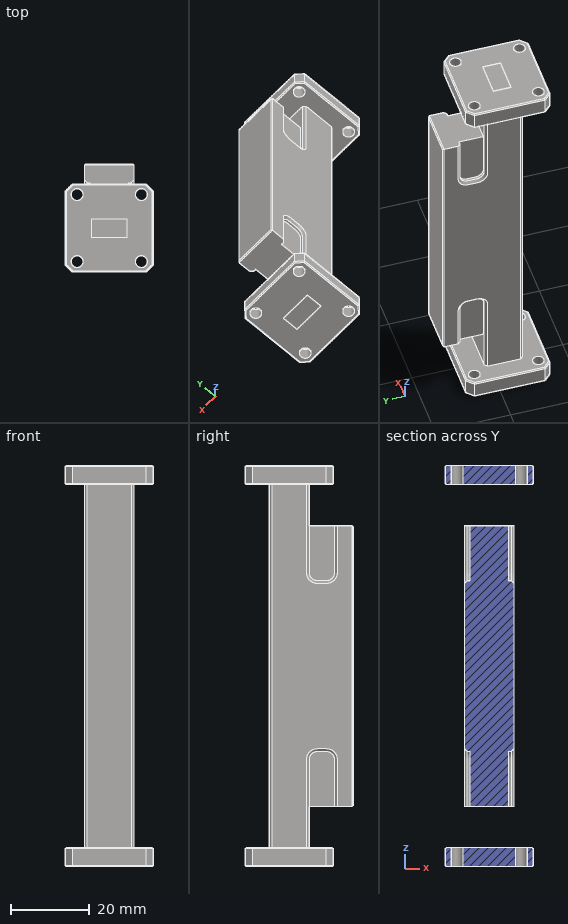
import cadquery as cq

total_length = 101.6

flange_size = 22.4
flange_thickness = 4.9
flange_corner_cut = 1.8
flange_edge_chamfer = 0.3
hole_diameter = 2.9
hole_spacing_x = 16.3
hole_spacing_y = 17.0
window_width = 9.0
window_height = 4.7
window_depth = 0.1

tube_width = 12.6
tube_depth = 10.2
tube_chamfer = 0.7

arm_length = 71.1
arm_back = 16.3
arm_chamfer = 0.3

relief_back = 11.5
relief_depth = 1.4
relief_end = 21.6
relief_corner_radius = 2.0
relief_chamfer = tube_chamfer
flare_angle = 45.0

tube_back = tube_depth / 2
tube_side = tube_width / 2


def make_flange():
    """End flange lying on Z = 0, with its shallow window in the top face."""
    flange = (
        cq.Workplane("XY")
        .rect(flange_size, flange_size)
        .extrude(flange_thickness)
        .edges("|Z")
        .chamfer(flange_corner_cut)
        .faces("<Z or >Z")
        .edges()
        .chamfer(flange_edge_chamfer)
    )
    holes = (
        cq.Workplane("XY")
        .rect(hole_spacing_x, hole_spacing_y, forConstruction=True)
        .vertices()
        .circle(hole_diameter / 2)
        .extrude(flange_thickness)
    )
    window = (
        cq.Workplane("XY")
        .workplane(offset=flange_thickness - window_depth)
        .rect(window_width, window_height)
        .extrude(window_depth)
    )
    return flange.cut(holes).cut(window)


def make_tube():
    """Tube with its four long edges chamfered."""
    tube_length = total_length - 2 * flange_thickness
    return cq.Workplane("XY").box(tube_width, tube_depth, tube_length).edges("|Z").chamfer(tube_chamfer)


def make_arm():
    """Arm that joins the tube and stands out behind it, rear rim chamfered."""
    return (
        cq.Workplane("XY")
        .box(tube_width, arm_back, arm_length)
        .translate((0, arm_back / 2, 0))
        .faces(">Y")
        .edges()
        .chamfer(arm_chamfer)
    )


def relief_outline(workplane, margin):
    """Outline of the relief grown by a margin, reaching from its closed end past the arm's end."""
    front = tube_back - margin
    back = relief_back + margin
    bottom = relief_end - margin
    top = arm_length / 2 + relief_chamfer + margin
    radius = relief_corner_radius + margin
    return (
        workplane.moveTo(front, top)
        .lineTo(front, bottom + radius)
        .radiusArc((front + radius, bottom), -radius)
        .lineTo(back - radius, bottom)
        .radiusArc((back, bottom + radius), -radius)
        .lineTo(back, top)
        .close()
    )


def make_relief():
    """Cutter for the relief in the +X side at the arm's upper end, mouth edge flared at 45 degrees."""
    mouth_face = cq.Workplane("YZ", origin=(tube_side, 0, 0))
    wall = relief_outline(mouth_face, 0).extrude(-relief_depth)
    flare = relief_outline(mouth_face, relief_chamfer).extrude(-relief_chamfer, taper=flare_angle)
    return wall.union(flare)


top_flange = make_flange().translate((0, 0, total_length / 2 - flange_thickness))
body = make_tube().union(make_arm())

relief_right = make_relief()
relief_left = relief_right.mirror("YZ")
for relief in (relief_right, relief_left):
    body = body.cut(relief).cut(relief.mirror("XY"))

result = body.union(top_flange).union(top_flange.mirror("XY"))